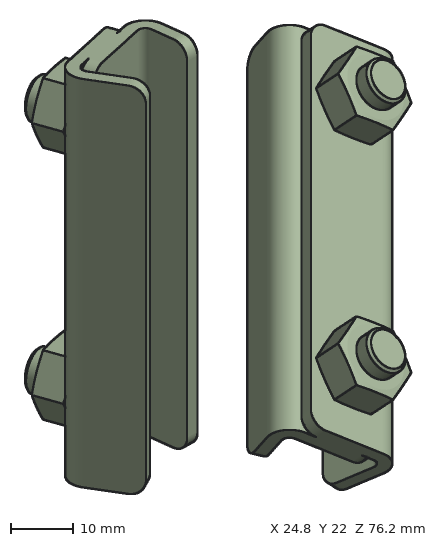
import cadquery as cq
import math

length = 76.2
thickness = 2.5
bend_radius = 4.0
flange_angle = math.radians(13)
corner_radius = 3.0

outer_bend_y = -6.4
outer_edge_y = 8.3
outer_tip_x = 15.2
inner_bend_y = 7.6
inner_edge_y = -7.1
inner_tip_x = 14.9

stud_spacing = 50.75
stud_diameter = 8.0
stud_chamfer = 0.5
stud_protrusion = 3.2
nut_height = 6.4
nut_flats = 12.95
nut_face_diameter = 11.6
nut_bevel = 0.3


def bent_plate(face_x, edge_y, bend_y, tip_x):
    """Flat web from edge_y to the bend, then a flange leaning inwards past the bend."""
    side = math.copysign(1, bend_y)
    centre_x = face_x + bend_radius
    inner_radius = bend_radius - thickness
    sine = math.sin(flange_angle)
    cosine = math.cos(flange_angle)

    def on_bend(radius, angle):
        return (centre_x + radius * math.sin(angle), bend_y + side * radius * math.cos(angle))

    mid_angle = (flange_angle - math.pi / 2) / 2
    outer_end = on_bend(bend_radius, flange_angle)
    inner_end = on_bend(inner_radius, flange_angle)
    flange_length = (tip_x - outer_end[0]) / cosine

    def flange_tip(start):
        return (start[0] + flange_length * cosine, start[1] - side * flange_length * sine)

    plate = (
        cq.Workplane("XY", origin=(0, 0, -length / 2))
        .moveTo(face_x, edge_y)
        .lineTo(face_x, bend_y)
        .threePointArc(on_bend(bend_radius, mid_angle), outer_end)
        .lineTo(*flange_tip(outer_end))
        .lineTo(*flange_tip(inner_end))
        .lineTo(*inner_end)
        .threePointArc(on_bend(inner_radius, mid_angle), (face_x + thickness, bend_y))
        .lineTo(face_x + thickness, edge_y)
        .close()
        .extrude(length)
    )

    web_edge = "<Y" if side > 0 else ">Y"
    plate = plate.faces(web_edge).edges("|X").fillet(corner_radius)
    tip_normal = cq.Vector(cosine, -side * sine, 0)
    tip_face = cq.selectors.DirectionMinMaxSelector(tip_normal)
    across_thickness = cq.selectors.ParallelDirSelector(cq.Vector(sine, side * cosine, 0))
    return plate.faces(tip_face).edges(across_thickness).fillet(corner_radius)


def nut(z):
    """Hexagonal nut with corners along Y and bevelled corners at both ends."""
    corner_diameter = nut_flats / math.cos(math.pi / 6)
    hexagon = (
        cq.Workplane("YZ", origin=(-nut_height, 0, z))
        .polygon(6, corner_diameter)
        .extrude(nut_height)
    )
    face_radius = nut_face_diameter / 2
    hexagon_radius = corner_diameter / 2
    bevel_envelope = (
        cq.Workplane("XY", origin=(0, 0, z))
        .moveTo(0, 0)
        .lineTo(0, face_radius)
        .lineTo(-nut_bevel, hexagon_radius)
        .lineTo(nut_bevel - nut_height, hexagon_radius)
        .lineTo(-nut_height, face_radius)
        .lineTo(-nut_height, 0)
        .close()
        .revolve(360, (0, 0, 0), (1, 0, 0))
    )
    return hexagon.intersect(bevel_envelope)


def stud(z):
    """Round stud through both plates and the nut, flush with the inner face."""
    tip_x = -(nut_height + stud_protrusion)
    return (
        cq.Workplane("YZ", origin=(tip_x, 0, z))
        .circle(stud_diameter / 2)
        .extrude(2 * thickness - tip_x)
        .faces("<X")
        .chamfer(stud_chamfer)
    )


outer_plate = bent_plate(0, outer_edge_y, outer_bend_y, outer_tip_x)
inner_plate = bent_plate(thickness, inner_edge_y, inner_bend_y, inner_tip_x)
result = outer_plate.union(inner_plate)

for stud_z in (-stud_spacing / 2, stud_spacing / 2):
    result = result.union(nut(stud_z)).union(stud(stud_z))